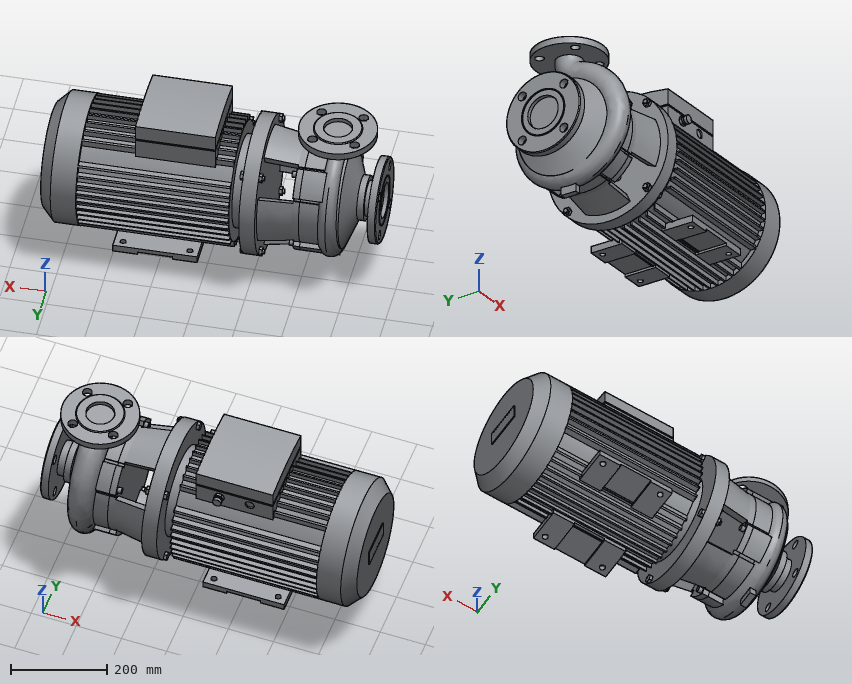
import cadquery as cq
import math


suction_flange_end = 18.0
suction_neck_end = 35.5
suction_collar_end = 50.0
volute_x = 99.5
casing_end = 158.5
cover_end = 173.0
flange_start = 245.0
flange_end = 278.5
fins_start = 304.0
fan_cover_start = 628.0
fan_chamfer_start = 682.0
fan_cover_end = 708.5
overall_length = 710.5

quarter_turns = (0, 90, 180, 270)

suction_flange_d = 185.0
suction_rim_chamfer = 2.0
suction_groove_d = 107.0
suction_groove_width = 2.0
suction_groove_depth = 1.5
suction_bore_d = 76.0
suction_collar_d = 96.0
suction_bolt_offset = 52.0
cone_end_x = 75.0
cone_end_d = 224.5

outlet_flange_bottom = 163.0
outlet_flange_top = 178.0
outlet_face_height = 2.0
outlet_flange_d = 165.0
outlet_face_d = 103.0
outlet_face_taper = 45
outlet_bore_d = 60.5
outlet_bolt_offset = 45.0
port_depth = 9.0
port_hole_d = 20.0

tube_start_angle = -15
tube_end_angle = 270
tube_start_r = 17.0
tube_end_r = 27.0
tube_start_reach = 129.0
tube_end_reach = 148.0
outlet_bend_r = 35.5
outlet_bend_top = 155.0

casing_foot_x = 14.0
casing_foot_y = 37.0
casing_foot_center_y = -2.0
casing_foot_z = -151.0

ring_r = 113.0
pad_r = 119.0
pad_angle = 54
lobe_r = 126.5
lobe_angle = 28.6
stud_circle_r = 116.5
stud_angle = 54.6
stud_d = 13.0
stud_length = 9.0
leg_angle = 50
leg_start_inner_r = 99.5
leg_end_outer_r = 131.0
leg_end_inner_r = 109.5
flange_d = 300.0

flange_bolt_offset = 99.5
bolt_d = 10.0
bolt_hex_width = 16.0
bolt_nut_height = 6.5
bolt_tip_length = 4.0
bolt_head_height = 6.5

shoulder_d = 199.0
motor_d = 279.0
core_d = 257.0
fan_end_d = 226.0
fin_pitch = 19.0
fin_thickness = 3.5
fins_per_side = 9
plate_y = 85.0
plate_top = 24.0
plate_bottom = -14.0

foot_start = 372.0
foot_length = 180.0
foot_top = -116.0
foot_height = 15.5
foot_reach = 126.5
foot_inner_y = 50.0
foot_relief_length = 74.5
foot_relief_height = 6.0
foot_hole_d = 12.0
foot_hole_spacing = 142.0
foot_hole_y = 110.0

box_start = 342.5
box_length = 170.0
box_width = 170.5
box_bottom = 99.5
box_split = 143.0
box_groove = 2.0
box_lid_edge = 180.5
box_lid_crown = 187.5
entry_d = 20.0
entry_depth = 3.5
entry_z = 126.5
gland_x = 394.0
spare_entry_x = 461.0

gland_hex_width = 19.0
gland_hex_height = 6.0
gland_neck_d = 16.0
gland_neck_length = 4.0
gland_cap_d = 19.0
gland_cap_length = 8.0


def cylinder_x(diameter, start, end, y=0.0, z=0.0):
    """Cylinder parallel to the shaft axis."""
    return cq.Workplane("YZ", origin=(start, y, z)).circle(diameter / 2).extrude(end - start)


def hexagon_x(width, start, end, y, z):
    """Hexagonal prism parallel to the shaft axis, sized across its flats."""
    across_corners = width / math.cos(math.pi / 6)
    return cq.Workplane("YZ", origin=(start, y, z)).polygon(6, across_corners).extrude(end - start)


def turned(profile, angle=360):
    """Revolve an (x, radius) profile about the shaft axis, starting at +Y."""
    return cq.Workplane("XY").polyline(profile).close().revolve(angle, (0, 0), (1, 0))


def about_shaft(body, angle):
    return body.rotate((0, 0, 0), (1, 0, 0), angle)


def box_between(x_range, y_range, z_range):
    size = [end - start for start, end in (x_range, y_range, z_range)]
    corner = (x_range[0], y_range[0], z_range[0])
    return cq.Workplane("XY", origin=corner).box(*size, centered=False)


def square_corners(offset):
    return [(a * offset, b * offset) for a in (-1, 1) for b in (-1, 1)]


def lobed_ring(start, end):
    """Disc with four pads in line with the bracket legs and four taller lobes between them."""
    ring = cylinder_x(2 * ring_r, start, end)
    pad = turned([(start, 0), (end, 0), (end, pad_r), (start, pad_r)], pad_angle)
    lobe = turned([(start, 0), (end, 0), (end, lobe_r), (start, lobe_r)], lobe_angle)
    for side in quarter_turns:
        ring = ring.union(about_shaft(pad, side - pad_angle / 2))
        ring = ring.union(about_shaft(lobe, side + 45 - lobe_angle / 2))
    return ring


def tube_section(y, z, heading, radius):
    """Circle across the volute tube; heading is the tube direction from +Y towards +Z."""
    direction = cq.Vector(0, math.cos(heading), math.sin(heading))
    return cq.Wire.makeCircle(radius, cq.Vector(volute_x, y, z), direction)


def spiral_tube():
    """Growing tube that runs from the top over +Y and the bottom round to -Y."""
    sections = []
    steps = 10
    for i in range(steps + 1):
        angle = tube_start_angle + (tube_end_angle - tube_start_angle) * i / steps
        growth = angle / tube_end_angle
        radius = tube_start_r + (tube_end_r - tube_start_r) * growth
        reach = tube_start_reach + (tube_end_reach - tube_start_reach) * growth ** 3
        turn = math.radians(angle)
        center_r = reach - radius
        sections.append(tube_section(center_r * math.sin(turn), center_r * math.cos(turn), -turn, radius))
    return cq.Workplane(cq.Solid.makeLoft(sections))


def outlet_tube():
    """S-bend of two tangent arcs from the spiral end, then a straight neck up to the outlet flange."""
    start_y = tube_end_reach - tube_end_r
    arcs_total_r = (start_y ** 2 + outlet_bend_top ** 2) / (2 * start_y)
    rise_r = arcs_total_r - outlet_bend_r
    sweep = math.asin(outlet_bend_top / arcs_total_r)
    end_r = outlet_bore_d / 2
    steps = 4
    sections = []
    for i in range(steps + 1):
        turn = sweep * i / steps
        radius = tube_end_r + (end_r - tube_end_r) * math.sin(math.pi / 2 * i / steps)
        y = -start_y + rise_r * (1 - math.cos(turn))
        z = rise_r * math.sin(turn)
        sections.append(tube_section(y, z, math.pi / 2 - turn, radius))
    rise = cq.Workplane(cq.Solid.makeLoft(sections))
    neck_base = cq.Workplane("XY", origin=(volute_x, 0, outlet_bend_top))
    neck = neck_base.circle(end_r).extrude(outlet_flange_bottom - outlet_bend_top)
    bend = neck_base.circle(end_r).revolve(
        math.degrees(sweep), (0, -outlet_bend_r), (-1, -outlet_bend_r))
    return rise.union(bend).union(neck)


def suction_port():
    flange_r = suction_flange_d / 2
    neck_r = suction_bore_d / 2
    collar_r = suction_collar_d / 2
    cone_r = cone_end_d / 2
    port = turned([
        (0, 0), (0, flange_r - suction_rim_chamfer), (suction_rim_chamfer, flange_r),
        (suction_flange_end, flange_r), (suction_flange_end, neck_r),
        (suction_neck_end, neck_r), (suction_neck_end, collar_r),
        (suction_collar_end, collar_r), (cone_end_x, cone_r),
        (volute_x, cone_r), (volute_x, 0),
    ])
    port = port.cut(cylinder_x(suction_bore_d, 0, port_depth))
    groove = cylinder_x(suction_groove_d, 0, suction_groove_depth)
    groove = groove.cut(cylinder_x(suction_groove_d - 2 * suction_groove_width, 0, suction_groove_depth))
    port = port.cut(groove)
    for y, z in square_corners(suction_bolt_offset):
        port = port.cut(cylinder_x(port_hole_d, 0, suction_flange_end, y, z))
    return port


def outlet_flange():
    base = cq.Workplane("XY", origin=(volute_x, 0, outlet_flange_bottom))
    flange_height = outlet_flange_top - outlet_flange_bottom
    face_height = flange_height + outlet_face_height
    flange = base.circle(outlet_flange_d / 2).extrude(flange_height)
    face = base.workplane(offset=flange_height).circle(outlet_face_d / 2)
    flange = flange.union(face.extrude(outlet_face_height, taper=outlet_face_taper))
    holes = base.pushPoints(square_corners(outlet_bolt_offset)).circle(port_hole_d / 2).extrude(face_height)
    bore = base.workplane(offset=face_height).circle(outlet_bore_d / 2).extrude(-port_depth)
    return flange.cut(holes).cut(bore)


def casing_foot():
    return box_between(
        (volute_x - casing_foot_x / 2, volute_x + casing_foot_x / 2),
        (casing_foot_center_y - casing_foot_y / 2, casing_foot_center_y + casing_foot_y / 2),
        (casing_foot_z, -ring_r),
    )


def make_casing():
    casing = suction_port().union(lobed_ring(volute_x, casing_end))
    for feature in (spiral_tube(), outlet_tube(), outlet_flange(), casing_foot()):
        casing = casing.union(feature)
    return casing


def bracket_studs():
    """One stud end per lobe, on the same side of each lobe."""
    angle = math.radians(stud_angle)
    stud = cylinder_x(
        stud_d, cover_end, cover_end + stud_length,
        stud_circle_r * math.cos(angle), stud_circle_r * math.sin(angle),
    )
    return [about_shaft(stud, quarter) for quarter in quarter_turns]


def bracket_legs():
    section = [
        (cover_end, leg_start_inner_r), (cover_end, pad_r),
        (flange_start, leg_end_outer_r), (flange_start, leg_end_inner_r),
    ]
    leg = turned(section, leg_angle)
    return [about_shaft(leg, side - leg_angle / 2) for side in quarter_turns]


def make_bracket():
    bracket = lobed_ring(casing_end, cover_end).union(cylinder_x(flange_d, flange_start, flange_end))
    for feature in bracket_legs() + bracket_studs():
        bracket = bracket.union(feature)
    for y, z in square_corners(flange_bolt_offset):
        bracket = bracket.cut(cylinder_x(bolt_d, flange_start, flange_end, y, z))
    return bracket


def make_flange_bolt(y, z):
    """Bolt with its nut, clamping the bracket flange."""
    nut_start = flange_start - bolt_nut_height
    shank = cylinder_x(bolt_d, nut_start - bolt_tip_length, flange_end, y, z)
    nut = hexagon_x(bolt_hex_width, nut_start, flange_start, y, z)
    head = hexagon_x(bolt_hex_width, flange_end, flange_end + bolt_head_height, y, z)
    return shank.union(nut).union(head)


def cooling_fins():
    """Parallel fins on all four sides, trimmed to the round motor outline."""
    row_depth = motor_d / 2
    fin_length = fan_cover_start - fins_start
    positions = [(0, (i - (fins_per_side - 1) / 2) * fin_pitch) for i in range(fins_per_side)]
    rows = cq.Workplane("YZ", origin=(fins_start, 0, 0))
    rows = rows.pushPoints(positions).rect(2 * row_depth, fin_thickness).extrude(fin_length)
    fins = rows.union(about_shaft(rows, 90))
    return fins.intersect(cylinder_x(motor_d, fins_start, fan_cover_start))


def motor_foot(side):
    """Foot plate on one side (+1 or -1 along Y), relieved underneath at mid-length."""
    middle = foot_start + foot_length / 2
    y_range = sorted((side * foot_inner_y, side * foot_reach))
    foot_bottom = foot_top - foot_height
    foot = box_between((foot_start, foot_start + foot_length), y_range, (foot_bottom, foot_top))
    foot = foot.cut(box_between(
        (middle - foot_relief_length / 2, middle + foot_relief_length / 2),
        y_range, (foot_bottom, foot_bottom + foot_relief_height),
    ))
    holes = cq.Workplane("XY", origin=(middle, side * foot_hole_y, foot_bottom))
    holes = holes.pushPoints([(-foot_hole_spacing / 2, 0), (foot_hole_spacing / 2, 0)])
    return foot.cut(holes.circle(foot_hole_d / 2).extrude(foot_height))


def make_motor():
    motor = turned([
        (flange_end, 0), (flange_end, shoulder_d / 2), (fins_start, shoulder_d / 2),
        (fins_start, core_d / 2), (fan_cover_start, core_d / 2), (fan_cover_start, motor_d / 2),
        (fan_chamfer_start, motor_d / 2), (fan_cover_end, fan_end_d / 2), (fan_cover_end, 0),
    ])
    motor = motor.union(cooling_fins()).union(motor_foot(1)).union(motor_foot(-1))
    motor = motor.union(box_between(
        (fan_cover_end, overall_length), (-plate_y / 2, plate_y / 2), (plate_bottom, plate_top)))
    box_seat = box_between(
        (box_start, box_start + box_length), (-box_width / 2, box_width / 2), (box_bottom, box_split))
    return motor.cut(box_seat)


def entry_hole(x):
    """Blind round cable entry in the -Y wall of the terminal box."""
    wall = cq.Workplane("XZ", origin=(x, -box_width / 2, entry_z))
    return wall.circle(entry_d / 2).extrude(-entry_depth)


def make_box_base():
    """Lower box with a recessed rim that leaves a groove below the lid."""
    x_range = (box_start, box_start + box_length)
    base = box_between(x_range, (-box_width / 2, box_width / 2), (box_bottom, box_split))
    rim = box_between(
        (x_range[0] + box_groove, x_range[1] - box_groove),
        (-box_width / 2 + box_groove, box_width / 2 - box_groove),
        (box_split, box_split + box_groove),
    )
    return base.union(rim).cut(entry_hole(gland_x)).cut(entry_hole(spare_entry_x))


def make_box_lid():
    lid_bottom = box_split + box_groove
    half = box_width / 2
    outline = cq.Workplane("YZ", origin=(box_start, 0, 0)).moveTo(-half, lid_bottom).lineTo(half, lid_bottom)
    outline = outline.lineTo(half, box_lid_edge)
    outline = outline.threePointArc((0, box_lid_crown), (-half, box_lid_edge)).close()
    return outline.extrude(box_length)


def make_gland():
    """Cable gland: spigot in the entry hole, hexagon, neck and round cap."""
    wall = cq.Workplane("XZ", origin=(gland_x, -box_width / 2, entry_z))
    across_corners = gland_hex_width / math.cos(math.pi / 6)
    neck_end = gland_hex_height + gland_neck_length
    gland = wall.circle(entry_d / 2).extrude(-entry_depth)
    gland = gland.union(wall.polygon(6, across_corners).extrude(gland_hex_height))
    gland = gland.union(wall.circle(gland_neck_d / 2).extrude(neck_end))
    cap = wall.workplane(offset=neck_end).circle(gland_cap_d / 2).extrude(gland_cap_length)
    return gland.union(cap)


casing = make_casing()
bracket = make_bracket()
motor = make_motor()
box_base = make_box_base()
box_lid = make_box_lid()
gland = make_gland()
flange_bolts = [make_flange_bolt(y, z) for y, z in square_corners(flange_bolt_offset)]

result = cq.Compound.makeCompound([
    casing.val(),
    bracket.val(),
    motor.val(),
    box_base.val(),
    box_lid.val(),
    gland.val(),
    *[bolt.val() for bolt in flange_bolts],
])